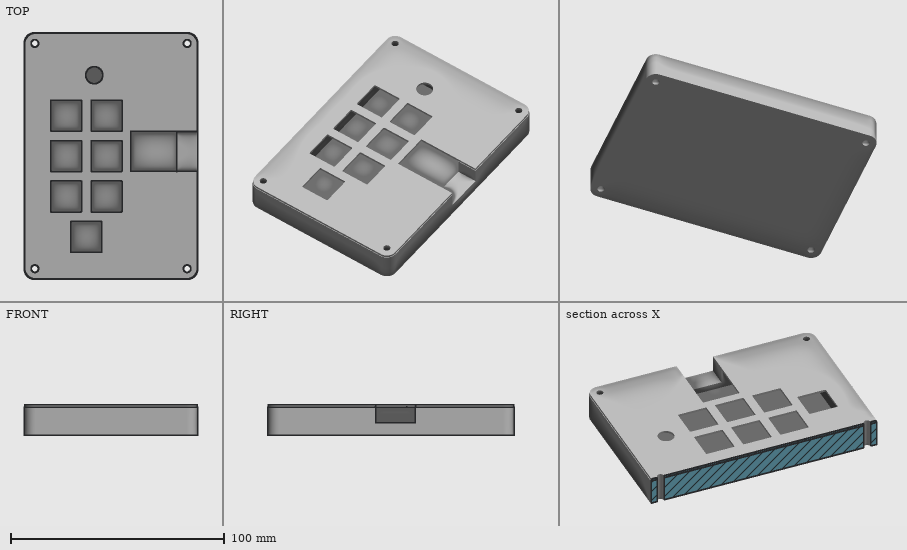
import cadquery as cq

housing_length_x = 81.4
housing_length_y = 115.6
overall_height = 14.5
lid_thickness = 1.2
housing_height = overall_height - lid_thickness
corner_radius = 5.0
wall_thickness = 2 * corner_radius
floor_thickness = 3.0

screw_diameter = 3.4
screw_spacing_x = housing_length_x - 2 * corner_radius
screw_spacing_y = housing_length_y - 2 * corner_radius

lid_inset = 0.2

key_pitch = 19.0
key_size = 14.6
key_corner_radius = 0.5
right_column_x = -2.1
left_column_x = right_column_x - key_pitch
thumb_key_x = (left_column_x + right_column_x) / 2
key_rows = (key_pitch, 0, -key_pitch)
thumb_key_y = -2 * key_pitch

round_window_diameter = 8.0
round_window_x = -7.9
round_window_y = 2 * key_pitch

opening_min_y = -7.2
opening_max_y = 11.3
opening_sill_z = 6.0
lid_opening_max_y = 11.6
lid_opening_min_x = 9.3


def rounded_plate(length_x, length_y, height, radius, base_z):
    """Plate centred on the Z axis with rounded vertical edges."""
    plate = cq.Workplane("XY").workplane(offset=base_z).rect(length_x, length_y).extrude(height)
    return plate.edges("|Z").fillet(radius)


def block(min_x, max_x, min_y, max_y, min_z, max_z):
    """Axis-aligned box given by its limits."""
    size = (max_x - min_x, max_y - min_y, max_z - min_z)
    return cq.Workplane("XY").box(*size, centered=False).translate((min_x, min_y, min_z))


def screw_holes():
    """Four cylinders through the full height at the corners."""
    corners = cq.Workplane("XY").rect(screw_spacing_x, screw_spacing_y, forConstruction=True).vertices()
    return corners.circle(screw_diameter / 2).extrude(overall_height)


def make_housing():
    body = rounded_plate(housing_length_x, housing_length_y, housing_height, corner_radius, 0)
    cavity_half_x = housing_length_x / 2 - wall_thickness
    cavity_half_y = housing_length_y / 2 - wall_thickness
    cavity = block(
        -cavity_half_x, cavity_half_x, -cavity_half_y, cavity_half_y, floor_thickness, housing_height
    )
    side_opening = block(
        0, housing_length_x / 2, opening_min_y, opening_max_y, opening_sill_z, housing_height
    )
    return body.cut(cavity).cut(side_opening).cut(screw_holes())


def key_windows():
    """Two columns of three square windows and one thumb key between the columns."""
    centres = [(x, y) for x in (left_column_x, right_column_x) for y in key_rows]
    centres.append((thumb_key_x, thumb_key_y))
    windows = cq.Workplane("XY").workplane(offset=housing_height).pushPoints(centres)
    windows = windows.rect(key_size, key_size).extrude(lid_thickness)
    return windows.edges("|Z").fillet(key_corner_radius)


def make_lid():
    plate = rounded_plate(
        housing_length_x - 2 * lid_inset,
        housing_length_y - 2 * lid_inset,
        lid_thickness,
        corner_radius - lid_inset,
        housing_height,
    )
    round_window = (
        cq.Workplane("XY")
        .workplane(offset=housing_height)
        .center(round_window_x, round_window_y)
        .circle(round_window_diameter / 2)
        .extrude(lid_thickness)
    )
    side_notch = block(
        lid_opening_min_x,
        housing_length_x / 2,
        opening_min_y,
        lid_opening_max_y,
        housing_height,
        overall_height,
    )
    return plate.cut(key_windows()).cut(round_window).cut(side_notch).cut(screw_holes())


housing = make_housing()
lid = make_lid()

result = cq.Compound.makeCompound([housing.val(), lid.val()])